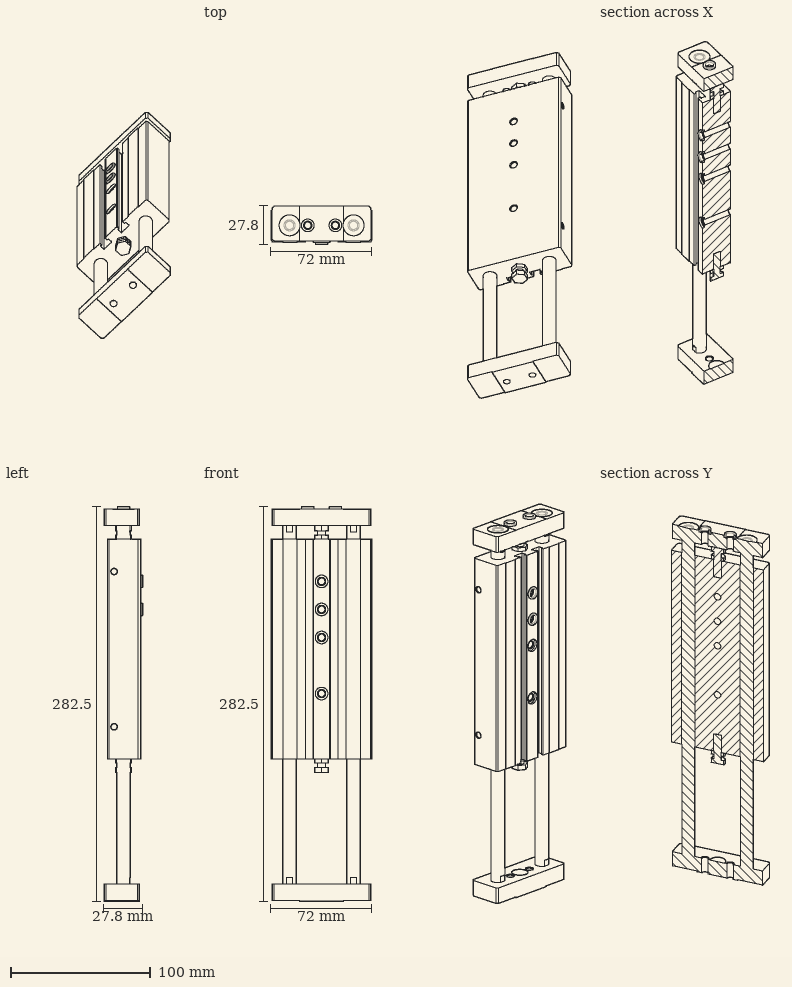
import cadquery as cq
import math


housing_width = 72.0
housing_bottom = 101.7
housing_top = 259.0
housing_back = 11.5
housing_front = -12.5
land_step = 0.42
housing_back_chamfer = 1.0
housing_corner_width = 0.8
housing_corner_depth = 1.55
center_land_half = 5.6
side_land_inner = 17.5
side_land_outer = 27.7

slot_inner = 6.2
slot_outer = 11.5
slot_lip = 2.3
slot_undercut_width = 8.0
slot_undercut_depth = 3.5

plate_width = 70.5
plate_back = 13.8
plate_front = -11.3
plate_thickness = 12.0
plate_chamfer = 1.5
pad_width = 31.5
top_pad_height = 0.15
bottom_pad_height = 0.5
top_plate_bottom = 268.5
rod_dia = 10.0
rod_offset = 23.0
flat_length = 4.5
flat_depth = 0.48
rod_seat_dia = 15.0
rod_seat_depth = 0.3
rod_end_outer_dia = 8.0
rod_end_inner_dia = 6.0
rod_end_depth = 0.3
stop_mark_dia = 12.0
stop_mark_depth = 0.3
plate_hole_offset = 10.0

sleeve_dia = 9.0
sleeve_bore_dia = 6.0
sleeve_wall = (sleeve_dia - sleeve_bore_dia) / 2
sleeve_seat_depth = 1.7
front_sleeve_projection = 1.5
overall_height = 282.5
thread_hole_dia = 4.8
thread_mouth_dia = 6.0
thread_mouth_depth = (thread_mouth_dia - thread_hole_dia) / 2
mount_hole_pitch = 20.0
first_mount_z = 228.7
mount_hole_steps = (0, 1, 2, 4)
sleeved_mount_steps = (0, 1)

port_dia = 4.2
port_mouth_dia = 4.8
port_mouth_depth = 0.5
port_depth = 5.6
port_tip_angle = 118.0
port_y = 6.8
port_end_distance = 23.2

hex_across_flats = 10.0
hex_across_corners = hex_across_flats / math.cos(math.pi / 6)
thread_dia = 6.0
nut_thickness = 2.8
head_thickness = 3.7
screw_reach = 9.5
thread_depth = 14.0

bottom_plate_bottom = bottom_pad_height
bottom_plate_top = bottom_plate_bottom + plate_thickness
top_plate_top = top_plate_bottom + plate_thickness
top_pad_z = top_plate_top + top_pad_height
top_sleeve_projection = overall_height - top_pad_z
mount_zs = [first_mount_z - step * mount_hole_pitch for step in mount_hole_steps]
sleeved_mount_zs = [first_mount_z - step * mount_hole_pitch for step in sleeved_mount_steps]
housing_ends = ((housing_top, 1), (housing_bottom, -1))
both_sides = (-1, 1)


def box_between(x_range, y_range, z_range):
    """A box given by its limits along the three axes."""
    (x0, x1), (y0, y1), (z0, z1) = x_range, y_range, z_range
    return cq.Workplane("XY").box(x1 - x0, y1 - y0, z1 - z0, centered=False).translate((x0, y0, z0))


def cylinder(dia, base, length, direction):
    """A round bar from a base point along a direction."""
    return cq.Workplane(cq.Solid.makeCylinder(dia / 2, length, cq.Vector(*base), cq.Vector(*direction)))


def cone(base_dia, end_dia, base, length, direction):
    """A conical frustum from a base point along a direction."""
    return cq.Workplane(
        cq.Solid.makeCone(base_dia / 2, end_dia / 2, length, cq.Vector(*base), cq.Vector(*direction))
    )


def extrude_outline(points):
    """A housing-length bar with the given XY outline."""
    return (
        cq.Workplane("XY", origin=(0, 0, housing_bottom))
        .polyline(points)
        .close()
        .extrude(housing_top - housing_bottom)
    )


def make_housing_profile():
    """The housing bar with raised lands on its front and chamfered corners."""
    half = housing_width / 2
    face = housing_front + land_step
    right_outline = [
        (center_land_half, housing_front),
        (center_land_half, face),
        (side_land_inner, face),
        (side_land_inner, housing_front),
        (side_land_outer, housing_front),
        (side_land_outer, face),
        (half - housing_corner_width, face),
        (half, face + housing_corner_depth),
        (half, housing_back - housing_back_chamfer),
        (half - housing_back_chamfer, housing_back),
    ]
    left_outline = [(-x, y) for x, y in reversed(right_outline)]
    return extrude_outline(right_outline + left_outline)


def make_sensor_slot(side):
    """A T-slot: a mouth in the front face and a wider undercut behind its lips."""
    center_x = side * (slot_inner + slot_outer) / 2
    mouth_half = (slot_outer - slot_inner) / 2
    undercut_half = slot_undercut_width / 2
    undercut_front = housing_front + slot_lip
    undercut_back = undercut_front + slot_undercut_depth
    z_range = (housing_bottom, housing_top)
    mouth = box_between(
        (center_x - mouth_half, center_x + mouth_half), (housing_front, undercut_front), z_range
    )
    undercut = box_between(
        (center_x - undercut_half, center_x + undercut_half), (undercut_front, undercut_back), z_range
    )
    return mouth.union(undercut)


def make_sleeve_hole(surface_point, inward, length):
    """A threaded through hole, chamfered at both ends, behind a sleeve seat."""
    start = cq.Vector(*surface_point)
    direction = cq.Vector(*inward)
    seat_floor = (start + direction * sleeve_seat_depth).toTuple()
    far_end = (start + direction * length).toTuple()
    outward = (-direction).toTuple()
    hole = cylinder(sleeve_dia, surface_point, sleeve_seat_depth, inward)
    hole = hole.union(cylinder(thread_hole_dia, surface_point, length, inward))
    hole = hole.union(cone(thread_mouth_dia, thread_hole_dia, seat_floor, thread_mouth_depth, inward))
    return hole.union(cone(thread_mouth_dia, thread_hole_dia, far_end, thread_mouth_depth, outward))


def make_port(z):
    """A blind port with a chamfered mouth and a drill point."""
    mouth = (-housing_width / 2, port_y, z)
    bore = cylinder(port_dia, mouth, port_depth, (1, 0, 0))
    tip_base = (mouth[0] + port_depth, port_y, z)
    tip_length = port_dia / 2 / math.tan(math.radians(port_tip_angle / 2))
    bore = bore.union(cone(port_dia, 0, tip_base, tip_length, (1, 0, 0)))
    return bore.union(cone(port_mouth_dia, port_dia, mouth, port_mouth_depth, (1, 0, 0)))


def make_housing():
    """The housing with its slots, rod bores, mounting holes, ports and screw holes."""
    body = make_housing_profile()
    for side in both_sides:
        body = body.cut(make_sensor_slot(side))
        body = body.cut(
            cylinder(rod_dia, (side * rod_offset, 0, housing_bottom), housing_top - housing_bottom, (0, 0, 1))
        )
    for z in mount_zs:
        body = body.cut(make_sleeve_hole((0, housing_front, z), (0, 1, 0), housing_back - housing_front))
    for end_z, outward in housing_ends:
        body = body.cut(make_port(end_z - outward * port_end_distance))
        body = body.cut(cylinder(thread_dia, (0, 0, end_z), thread_depth, (0, 0, -outward)))
    return body


def make_plate(bottom_z, pad_bottom_z, pad_height):
    """An end plate with chamfered upright edges and a raised middle pad."""
    plate = box_between(
        (-plate_width / 2, plate_width / 2),
        (plate_front, plate_back),
        (bottom_z, bottom_z + plate_thickness),
    ).edges("|Z").chamfer(plate_chamfer)
    pad = box_between(
        (-pad_width / 2, pad_width / 2),
        (plate_front, plate_back),
        (pad_bottom_z, pad_bottom_z + pad_height),
    )
    return plate.union(pad)


def make_plain_thread_hole(side):
    """A threaded hole through the bottom plate, chamfered at its upper end."""
    x = side * plate_hole_offset
    hole = cylinder(thread_hole_dia, (x, 0, 0), bottom_plate_top, (0, 0, 1))
    mouth = cone(thread_mouth_dia, thread_hole_dia, (x, 0, bottom_plate_top), thread_mouth_depth, (0, 0, -1))
    return hole.union(mouth)


def make_rod(side):
    """A guide rod between the plates with a wrench flat at each end."""
    x = side * rod_offset
    rod = cylinder(rod_dia, (x, 0, bottom_plate_top), top_plate_bottom - bottom_plate_top, (0, 0, 1))
    flat_x = (x - rod_dia / 2, x + rod_dia / 2)
    flat_y = (-rod_dia / 2, -rod_dia / 2 + flat_depth)
    for flat_bottom in (bottom_plate_top, top_plate_bottom - flat_length):
        rod = rod.cut(box_between(flat_x, flat_y, (flat_bottom, flat_bottom + flat_length)))
    return rod


def make_rod_end_seat(side):
    """The shallow seat and conical dimple above a rod in the top plate."""
    x = side * rod_offset
    floor_z = top_plate_top - rod_seat_depth
    seat = cylinder(rod_seat_dia, (x, 0, floor_z), rod_seat_depth + top_pad_height, (0, 0, 1))
    dimple = cone(rod_end_outer_dia, rod_end_inner_dia, (x, 0, floor_z), rod_end_depth, (0, 0, -1))
    return seat.union(dimple)


def make_yoke():
    """The moving yoke: both end plates and both rods as one body."""
    yoke = make_plate(top_plate_bottom, top_plate_top, top_pad_height)
    yoke = yoke.union(make_plate(bottom_plate_bottom, 0, bottom_pad_height))
    for side in both_sides:
        yoke = yoke.union(make_rod(side))
        yoke = yoke.cut(make_rod_end_seat(side))
        sleeve_seat = (side * plate_hole_offset, 0, top_pad_z)
        yoke = yoke.cut(make_sleeve_hole(sleeve_seat, (0, 0, -1), top_pad_z - top_plate_bottom))
        yoke = yoke.cut(make_plain_thread_hole(side))
    return yoke.cut(cylinder(stop_mark_dia, (0, 0, bottom_plate_top), stop_mark_depth, (0, 0, -1)))


def make_sleeve(seat_center, outward, projection):
    """A centering sleeve standing in its seat, with a fully rounded rim at its outer end."""
    inner_radius = sleeve_bore_dia / 2
    outer_radius = sleeve_dia / 2
    rim_z = projection - sleeve_wall / 2
    sleeve = (
        cq.Workplane("XZ")
        .moveTo(inner_radius, -sleeve_seat_depth)
        .lineTo(outer_radius, -sleeve_seat_depth)
        .lineTo(outer_radius, rim_z)
        .threePointArc(((inner_radius + outer_radius) / 2, projection), (inner_radius, rim_z))
        .close()
        .revolve(360, (0, 0), (0, 1))
    )
    placement = cq.Plane(origin=seat_center, xDir=(1, 0, 0), normal=outward)
    return cq.Workplane(sleeve.val().moved(placement.location))


def make_hex(bottom_z, thickness):
    """A hexagonal prism with corners on the +Y and -Y sides."""
    return (
        cq.Workplane("XY", origin=(0, 0, bottom_z))
        .transformed(rotate=(0, 0, 90))
        .polygon(6, hex_across_corners)
        .extrude(thickness)
    )


def make_stop_screw(end_z, outward):
    """A hexagon screw standing out of one end of the housing."""
    head_inner_z = end_z + outward * (screw_reach - head_thickness)
    head = make_hex(head_inner_z, outward * head_thickness)
    shank_length = screw_reach - head_thickness + thread_depth
    return head.union(cylinder(thread_dia, (0, 0, head_inner_z), shank_length, (0, 0, -outward)))


def make_lock_nut(end_z, outward):
    """A hexagon nut tight against one end of the housing."""
    nut = make_hex(end_z, outward * nut_thickness)
    return nut.cut(cylinder(thread_dia, (0, 0, end_z), nut_thickness, (0, 0, outward)))


housing = make_housing()
yoke = make_yoke()
front_sleeves = [
    make_sleeve((0, housing_front, z), (0, -1, 0), front_sleeve_projection) for z in sleeved_mount_zs
]
top_sleeves = [
    make_sleeve((side * plate_hole_offset, 0, top_pad_z), (0, 0, 1), top_sleeve_projection)
    for side in both_sides
]
stop_screws = [make_stop_screw(end_z, outward) for end_z, outward in housing_ends]
lock_nuts = [make_lock_nut(end_z, outward) for end_z, outward in housing_ends]

bodies = [housing, yoke, *front_sleeves, *top_sleeves, *stop_screws, *lock_nuts]
result = cq.Compound.makeCompound([body.val() for body in bodies])